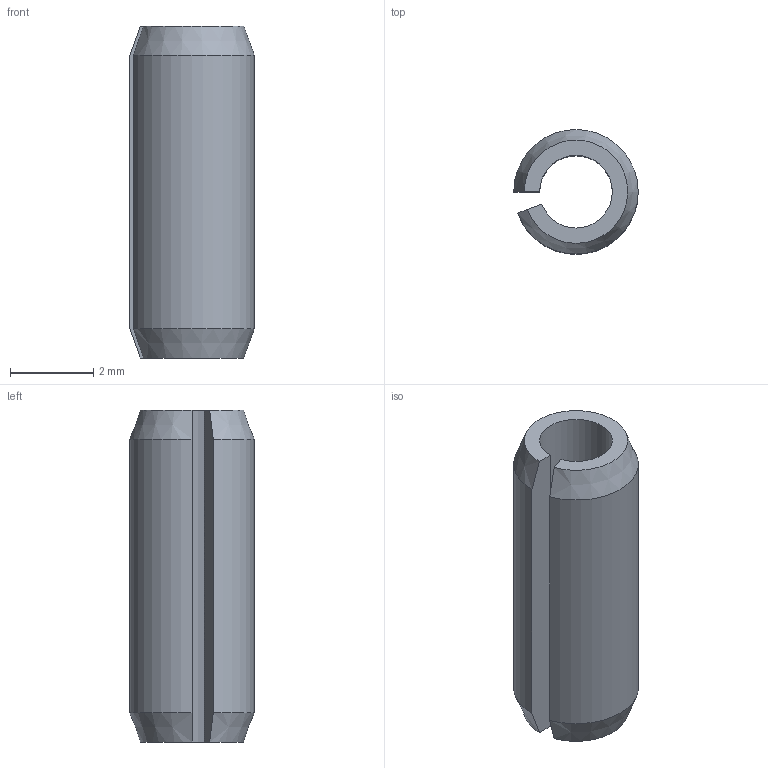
import cadquery as cq
import math

length = 8.0
outer_radius = 1.5
bore_radius = 0.875
taper_length = 0.7
taper_angle = 20.0
slot_angle = 20.0
slot_start = 180.0

end_radius = outer_radius - taper_length * math.tan(math.radians(taper_angle))


def make_pin_wall():
    """Tube wall with tapered ends, swept about Z and stopping short of a full turn."""
    profile = [
        (bore_radius, 0),
        (end_radius, 0),
        (outer_radius, taper_length),
        (outer_radius, length - taper_length),
        (end_radius, length),
        (bore_radius, length),
    ]
    slot_end = slot_start + slot_angle
    start_angle = math.radians(slot_end)
    radial_direction = (math.cos(start_angle), math.sin(start_angle), 0)
    plane_normal = (math.sin(start_angle), -math.cos(start_angle), 0)
    radial_plane = cq.Plane(origin=(0, 0, 0), xDir=radial_direction, normal=plane_normal)
    sweep_angle = 360.0 - slot_angle
    return cq.Workplane(radial_plane).polyline(profile).close().revolve(sweep_angle, (0, 0), (0, 1))


result = make_pin_wall()